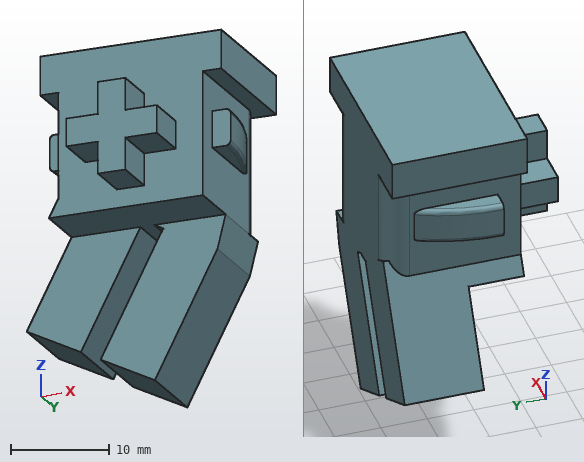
import cadquery as cq
import math

depth = 14.5
cap_width = 20.02
cap_height = 4.25
body_width = 16.0
body_bottom = -17.75
back_radius = 2.5

cross_span = 10.0
cross_arm = 3.02
cross_length = 5.0
cross_z = -10.75

pad_height = 4.0
pad_length = 9.0
pad_back = -3.02
pad_center_z = -9.7
pad_radius = 0.52

leg_tilt = math.radians(27.5)
leg_width = 6.75
leg_length = 15.0
leg_depth = 8.55
leg_pair_width = body_width
leg_tip_x = -14.02
leg_tip_z = -34.7 + leg_pair_width * math.sin(leg_tilt)

half_body = body_width / 2
pad_reach = (cap_width - body_width) / 2


def box(x_range, y_range, z_range):
    """Box filling the given (low, high) ranges."""
    ranges = (x_range, y_range, z_range)
    sizes = [high - low for low, high in ranges]
    low_corner = tuple(low for low, high in ranges)
    return cq.Workplane("XY").box(*sizes, centered=False).translate(low_corner)


def leg_point(across, along):
    """XZ point measured across the leg pair and up along the legs from the left tip."""
    x = leg_tip_x + across * math.cos(leg_tilt) + along * math.sin(leg_tilt)
    z = leg_tip_z - across * math.sin(leg_tilt) + along * math.cos(leg_tilt)
    return x, z


def prism(points, length):
    """XZ outline extruded forward from the back face."""
    return cq.Workplane("XZ").polyline(points).close().extrude(length)


def make_cap():
    return box((-cap_width / 2, cap_width / 2), (-depth, 0), (-cap_height, 0))


def make_body():
    body = box((-half_body, half_body), (-depth, 0), (body_bottom, -cap_height))
    return body.edges("|Z and >Y").fillet(back_radius)


def make_wedge():
    """Slanted filler that carries the left leg's outer face across the body depth."""
    slope = math.tan(leg_tilt)
    wall_z = leg_tip_z + (-half_body - leg_tip_x) / slope
    foot_x = leg_tip_x + (body_bottom - leg_tip_z) * slope
    points = [(-half_body, wall_z), (foot_x, body_bottom), (0, body_bottom), (0, wall_z)]
    return prism(points, depth)


def make_leg(start):
    end = start + leg_width
    points = [
        leg_point(start, 0),
        leg_point(end, 0),
        leg_point(end, leg_length),
        leg_point(start, leg_length),
    ]
    return prism(points, leg_depth)


def make_leg_bridge():
    """Filler between the ends of the legs and the underside of the body."""
    points = [
        leg_point(leg_width, leg_length),
        leg_point(leg_pair_width, leg_length),
        (half_body, body_bottom),
    ]
    return prism(points, leg_depth)


def make_cross():
    cross = (
        cq.Workplane("XZ", origin=(0, -depth, cross_z))
        .rect(cross_span, cross_arm)
        .extrude(cross_length)
    )
    upright = (
        cq.Workplane("XZ", origin=(0, -depth, cross_z))
        .rect(cross_arm, cross_span)
        .extrude(cross_length)
    )
    return cross.union(upright)


def make_pad():
    """Right-hand pad, bulging from the wall at the back to full reach at the front."""
    front = pad_back - pad_length
    bulge_radius = (pad_length**2 + pad_reach**2) / (2 * pad_reach)
    half_angle = math.asin(pad_length / bulge_radius) / 2
    middle = (
        half_body + pad_reach - bulge_radius * (1 - math.cos(half_angle)),
        front + bulge_radius * math.sin(half_angle),
    )
    root_x = half_body - 2 * pad_radius
    pad = (
        cq.Workplane("XY", origin=(0, 0, pad_center_z - pad_height / 2))
        .moveTo(root_x, front)
        .lineTo(half_body + pad_reach, front)
        .threePointArc(middle, (half_body, pad_back))
        .lineTo(root_x, pad_back)
        .close()
        .extrude(pad_height)
    )
    return pad.edges("%CIRCLE").fillet(pad_radius)


right_pad = make_pad()
result = (
    make_cap()
    .union(make_body())
    .union(make_wedge())
    .union(make_leg(0))
    .union(make_leg(leg_pair_width - leg_width))
    .union(make_leg_bridge())
    .union(make_cross())
    .union(right_pad)
    .union(right_pad.mirror("YZ"))
)